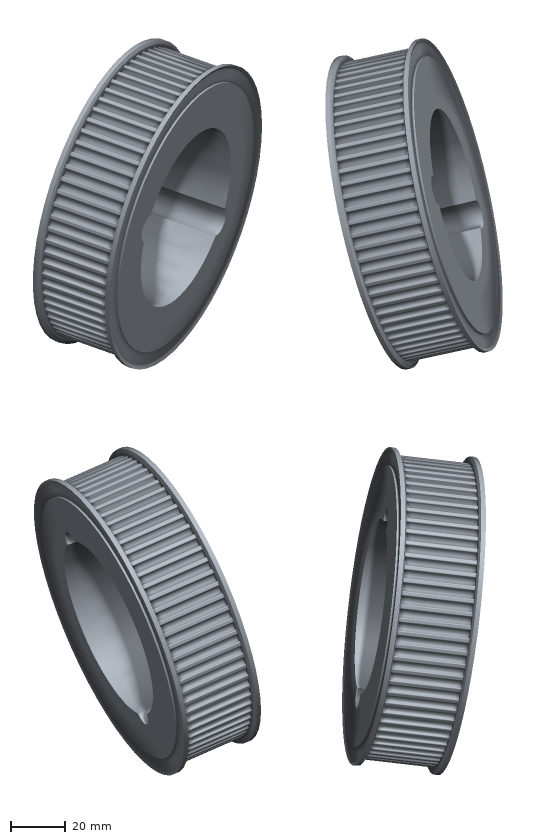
import cadquery as cq
import math


pulley_width = 32.5
half_width = pulley_width / 2
hub_radius = 52.5

rim_radius = 59.3
belt_width = 27.3
half_belt = belt_width / 2
flange_thickness = 1.8
bend_radius = 57.9
lip_offset = 0.6

tooth_count = 72
tooth_tip_radius = 56.7
groove_depth = 2.0
groove_half_width = 1.5
groove_floor_radius = 1.7
groove_floor_half_width = 0.69
tip_fillet = 0.43

narrow_bore_radius = 32.6
bore_taper_angle = 4.0
wide_bore_radius = narrow_bore_radius + pulley_width * math.tan(math.radians(bore_taper_angle))

notch_radius = 5.5
notch_circle_radius = 33.3
notch_angles = (150.0, 320.0)


def revolve_about_x(profile):
    return cq.Workplane("XY").polyline(profile).close().revolve(360, (0, 0, 0), (1, 0, 0))


def pulley_blank():
    flange_face = half_belt + flange_thickness
    right_side = [
        (half_belt, tooth_tip_radius),
        (half_belt, bend_radius),
        (half_belt + lip_offset, rim_radius),
        (flange_face + lip_offset, rim_radius),
        (flange_face, bend_radius),
        (flange_face, hub_radius),
        (half_width, hub_radius),
        (half_width, 0),
    ]
    left_side = [(-x, radius) for x, radius in reversed(right_side)]
    return revolve_about_x(right_side + left_side)


def tooth_groove():
    """Cutter for one groove, centred on +Z and as long as the belt track."""
    cutter_top = tooth_tip_radius + tip_fillet

    floor_z = tooth_tip_radius - groove_depth
    floor_angle = math.asin(groove_floor_half_width / groove_floor_radius)
    floor_edge_z = floor_z + groove_floor_radius * (1 - math.cos(floor_angle))

    flank_radius = (groove_half_width - groove_floor_half_width) / (1 - math.sin(floor_angle))
    flank_y = groove_half_width - flank_radius
    flank_z = floor_edge_z + flank_radius * math.cos(floor_angle)
    flank_middle_angle = (math.pi / 2 + floor_angle) / 2
    flank_middle_y = flank_y + flank_radius * math.sin(flank_middle_angle)
    flank_middle_z = flank_z - flank_radius * math.cos(flank_middle_angle)

    fillet_y = groove_half_width + tip_fillet
    fillet_orbit = tooth_tip_radius - tip_fillet
    fillet_z = math.sqrt(fillet_orbit**2 - fillet_y**2)
    tip_angle = math.asin(fillet_y / fillet_orbit)
    tip_y = tooth_tip_radius * math.sin(tip_angle)
    tip_z = tooth_tip_radius * math.cos(tip_angle)

    middle_angle = (math.pi / 2 - tip_angle) / 2
    middle_y = fillet_y - tip_fillet * math.cos(middle_angle)
    middle_z = fillet_z + tip_fillet * math.sin(middle_angle)

    return (
        cq.Workplane("YZ", origin=(-half_belt, 0, 0))
        .moveTo(-tip_y, cutter_top)
        .lineTo(-tip_y, tip_z)
        .threePointArc((-middle_y, middle_z), (-groove_half_width, fillet_z))
        .lineTo(-groove_half_width, flank_z)
        .threePointArc((-flank_middle_y, flank_middle_z), (-groove_floor_half_width, floor_edge_z))
        .threePointArc((0, floor_z), (groove_floor_half_width, floor_edge_z))
        .threePointArc((flank_middle_y, flank_middle_z), (groove_half_width, flank_z))
        .lineTo(groove_half_width, fillet_z)
        .threePointArc((middle_y, middle_z), (tip_y, tip_z))
        .lineTo(tip_y, cutter_top)
        .close()
        .extrude(belt_width)
        .val()
    )


def tooth_grooves():
    groove = tooth_groove()
    pitch_angle = 360 / tooth_count
    grooves = [groove.rotate((0, 0, 0), (1, 0, 0), i * pitch_angle) for i in range(tooth_count)]
    return cq.Workplane(cq.Compound.makeCompound(grooves))


def tapered_bore():
    return revolve_about_x(
        [
            (-half_width, 0),
            (-half_width, narrow_bore_radius),
            (half_width, wide_bore_radius),
            (half_width, 0),
        ]
    )


def screw_notches():
    centres = [
        (
            notch_circle_radius * math.cos(math.radians(angle)),
            notch_circle_radius * math.sin(math.radians(angle)),
        )
        for angle in notch_angles
    ]
    return (
        cq.Workplane("YZ", origin=(-half_width, 0, 0))
        .pushPoints(centres)
        .circle(notch_radius)
        .extrude(pulley_width)
    )


result = pulley_blank().cut(tooth_grooves()).cut(tapered_bore()).cut(screw_notches())